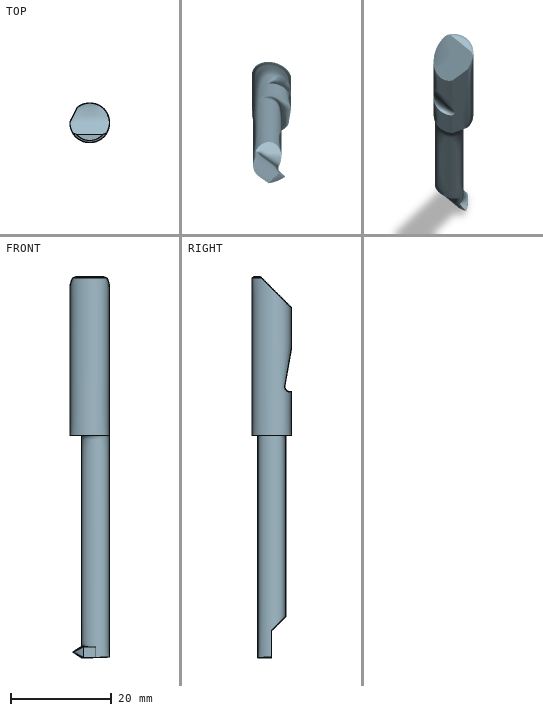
import cadquery as cq
import math

TOTAL_LENGTH = 76.2

SHANK_DIAMETER = 7.94
SHANK_LENGTH = 31.75
SHANK_RADIUS = SHANK_DIAMETER / 2
SHANK_BOTTOM = TOTAL_LENGTH - SHANK_LENGTH

RIM_CHAMFER_WIDTH = 0.45
RIM_CHAMFER_HEIGHT = 0.3
BEVEL_START_Y = -2.3

FLAT_DISTANCE = 3.62
FLAT_ANGLE = 153.0

NOTCH_FLOOR_Z = 53.2
NOTCH_DEPTH = 1.35
NOTCH_RADIUS = 1.0
NOTCH_RAMP_ANGLE = 10.0

NECK_DIAMETER = 5.65
NECK_RADIUS = NECK_DIAMETER / 2
NECK_CENTER_X = SHANK_RADIUS - NECK_RADIUS

RAKE_LENGTH = 5.5

TIP_X = -3.3
TIP_Z = 1.2
TIP_WIDTH = 0.12
FLANK_ANGLE = 33.0
HEAD_HEIGHT = 2.6
TOP_RELIEF = 0.4
BOTTOM_RELIEF = 0.08
FLANK_RELIEF = 0.3
HEEL_X = -1.25
RELIEF_BULGE = 0.25

END_RISE_ANGLE = 2.0
END_RISE_START_X = -1.3


def make_shank():
    body = cq.Workplane("XY").workplane(offset=SHANK_BOTTOM).circle(SHANK_RADIUS).extrude(SHANK_LENGTH)
    body = body.faces(">Z").edges().chamfer(RIM_CHAMFER_HEIGHT, RIM_CHAMFER_WIDTH)
    return body.cut(make_end_bevel()).cut(make_flat()).cut(make_notch())


def make_end_bevel():
    """45 degree wedge above the sloping shank end."""
    run = SHANK_DIAMETER
    return (
        cq.Workplane("YZ")
        .moveTo(BEVEL_START_Y, TOTAL_LENGTH)
        .lineTo(BEVEL_START_Y + run, TOTAL_LENGTH)
        .lineTo(BEVEL_START_Y + run, TOTAL_LENGTH - run)
        .close()
        .extrude(SHANK_RADIUS, both=True)
    )


def make_flat():
    """Block whose inner face is the locating flat, facing FLAT_ANGLE from +X."""
    return (
        cq.Workplane("XY")
        .box(SHANK_RADIUS, SHANK_DIAMETER, SHANK_LENGTH, centered=(False, True, False))
        .translate((FLAT_DISTANCE, 0, SHANK_BOTTOM))
        .rotate((0, 0, 0), (0, 0, 1), FLAT_ANGLE)
    )


def make_notch():
    """Ramp descending to a round that turns out along a level floor."""
    ramp = math.radians(NOTCH_RAMP_ANGLE)
    center_y = SHANK_RADIUS - NOTCH_DEPTH + NOTCH_RADIUS
    center_z = NOTCH_FLOOR_Z + NOTCH_RADIUS
    tangent_y = center_y - NOTCH_RADIUS * math.cos(ramp)
    tangent_z = center_z + NOTCH_RADIUS * math.sin(ramp)
    mouth_z = tangent_z + (SHANK_RADIUS - tangent_y) / math.tan(ramp)
    arc_middle = ((math.pi - ramp) + 1.5 * math.pi) / 2
    mid_point = (
        center_y + NOTCH_RADIUS * math.cos(arc_middle),
        center_z + NOTCH_RADIUS * math.sin(arc_middle),
    )
    return (
        cq.Workplane("YZ")
        .moveTo(SHANK_RADIUS, mouth_z)
        .lineTo(tangent_y, tangent_z)
        .threePointArc(mid_point, (center_y, NOTCH_FLOOR_Z))
        .lineTo(SHANK_RADIUS, NOTCH_FLOOR_Z)
        .close()
        .extrude(SHANK_RADIUS, both=True)
    )


def make_neck():
    neck = cq.Workplane("XY").center(NECK_CENTER_X, 0).circle(NECK_RADIUS).extrude(SHANK_BOTTOM)
    rake_cut = (
        cq.Workplane("YZ")
        .polyline([(0, 0), (NECK_RADIUS, 0), (NECK_RADIUS, RAKE_LENGTH + NECK_RADIUS), (0, RAKE_LENGTH)])
        .close()
        .extrude(SHANK_DIAMETER, both=True)
    )
    return neck.cut(rake_cut)


def tooth_outline(top_relief, bottom_relief, flank_relief):
    """Pointed XZ outline of the tooth; each relief draws its sides in vertically."""
    slope = math.tan(math.radians(FLANK_ANGLE))
    tip_x = TIP_X + flank_relief / slope
    tip_top = TIP_Z + TIP_WIDTH / 2
    tip_bottom = TIP_Z - TIP_WIDTH / 2
    top = HEAD_HEIGHT - top_relief
    return [
        (tip_x, tip_bottom),
        (tip_x, tip_top),
        (tip_x + (top - tip_top) / slope, top),
        (NECK_CENTER_X, top),
        (NECK_CENTER_X, bottom_relief),
        (tip_x + (tip_bottom - bottom_relief) / slope, bottom_relief),
    ]


def make_tooth():
    """Pointed tooth, cut back behind its edge by a convex relief surface."""
    blank = (
        cq.Workplane("XZ")
        .polyline(tooth_outline(0, 0, 0))
        .close()
        .workplane(offset=NECK_RADIUS)
        .polyline(tooth_outline(TOP_RELIEF, BOTTOM_RELIEF, FLANK_RELIEF))
        .close()
        .loft(ruled=True)
    )
    plan = (
        cq.Workplane("XY")
        .moveTo(TIP_X, 0)
        .sagittaArc((HEEL_X, -NECK_RADIUS), -RELIEF_BULGE)
        .lineTo(NECK_CENTER_X, -NECK_RADIUS)
        .lineTo(NECK_CENTER_X, 0)
        .close()
        .extrude(HEAD_HEIGHT)
    )
    return blank.intersect(plan)


def make_end_slope():
    """Thin wedge below the sloping end face."""
    run = SHANK_RADIUS - END_RISE_START_X
    rise = run * math.tan(math.radians(END_RISE_ANGLE))
    return (
        cq.Workplane("XZ")
        .polyline([(END_RISE_START_X, 0), (SHANK_RADIUS, 0), (SHANK_RADIUS, rise)])
        .close()
        .extrude(SHANK_RADIUS, both=True)
    )


result = make_shank().union(make_neck()).union(make_tooth()).cut(make_end_slope())